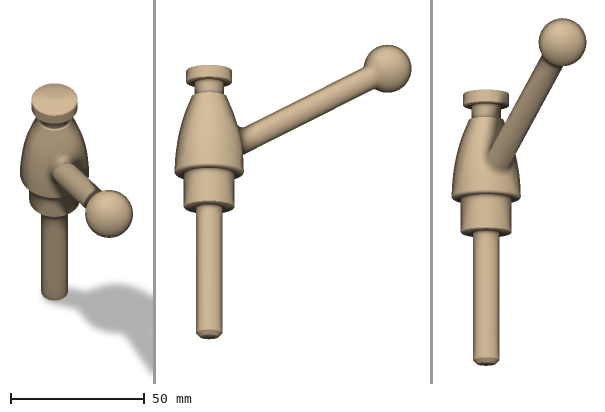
import cadquery as cq
import math

collar_bottom = 50.0
body_bottom = 63.0
body_top = 92.9
cap_bottom = 98.3
cap_top = 103.0
overall_height = 119.0

stud_diameter = 10.0
stud_chamfer = 1.5
collar_diameter = 19.0
collar_chamfer = 0.3
body_diameter = 26.0
body_top_diameter = 13.1
body_rim_fillet = 1.0
neck_diameter = 11.0
cap_diameter = 17.3
cap_chamfer = 0.3

ball_diameter = 18.0
lever_reach = 80.0
lever_diameter = 9.0
lever_angle = 30.0
lever_fillet = 3.0

ball_x = lever_reach - ball_diameter / 2
ball_z = overall_height - ball_diameter / 2


def cylinder(diameter, bottom, top):
    """Cylinder on the vertical axis between two heights."""
    return cq.Workplane("XY").workplane(offset=bottom).circle(diameter / 2).extrude(top - bottom)


def make_body():
    """Ogive body whose side leaves the rim vertically and curves inward."""
    rim_radius = body_diameter / 2
    top_radius = body_top_diameter / 2
    rim_z = body_bottom + body_rim_fillet
    rise = body_top - rim_z
    inset = rim_radius - top_radius
    side_radius = (rise**2 + inset**2) / (2 * inset)
    mid_angle = math.asin(rise / side_radius) / 2
    mid_point = (
        rim_radius - side_radius * (1 - math.cos(mid_angle)),
        rim_z + side_radius * math.sin(mid_angle),
    )
    profile = (
        cq.Workplane("XZ")
        .moveTo(0, body_bottom)
        .lineTo(rim_radius - body_rim_fillet, body_bottom)
        .radiusArc((rim_radius, rim_z), -body_rim_fillet)
        .threePointArc(mid_point, (top_radius, body_top))
        .lineTo(0, body_top)
        .close()
    )
    return profile.revolve(360, (0, 0, 0), (0, 1, 0))


def make_lever():
    """Straight round rod from the body axis to the ball centre."""
    angle = math.radians(lever_angle)
    start = cq.Vector(0, 0, ball_z - ball_x * math.tan(angle))
    direction = cq.Vector(math.cos(angle), 0, math.sin(angle))
    length = ball_x / math.cos(angle)
    return cq.Workplane(cq.Solid.makeCylinder(lever_diameter / 2, length, start, direction))


def make_handle():
    """Body, rod and ball blended together at both ends of the rod."""
    ball = cq.Workplane("XY").sphere(ball_diameter / 2).translate((ball_x, 0, ball_z))
    handle = make_body().union(make_lever()).union(ball)
    margin = lever_diameter
    joints = cq.selectors.BoxSelector(
        (lever_diameter / 2, -margin, body_bottom + body_rim_fillet),
        (ball_x, margin, overall_height),
    )
    rod = handle.faces(cq.selectors.BoxSelector(
        (body_diameter, -margin, body_bottom),
        (ball_x - ball_diameter / 2, margin, overall_height),
    ))
    return rod.edges(joints).edges("not %LINE").fillet(lever_fillet)


stud = cylinder(stud_diameter, 0, collar_bottom).faces("<Z").chamfer(stud_chamfer)
collar = cylinder(collar_diameter, collar_bottom, body_bottom).faces("<Z").chamfer(collar_chamfer)
neck = cylinder(neck_diameter, body_top, cap_bottom)
cap = cylinder(cap_diameter, cap_bottom, cap_top).faces("<Z or >Z").chamfer(cap_chamfer)

result = make_handle().union(collar).union(stud).union(neck).union(cap)